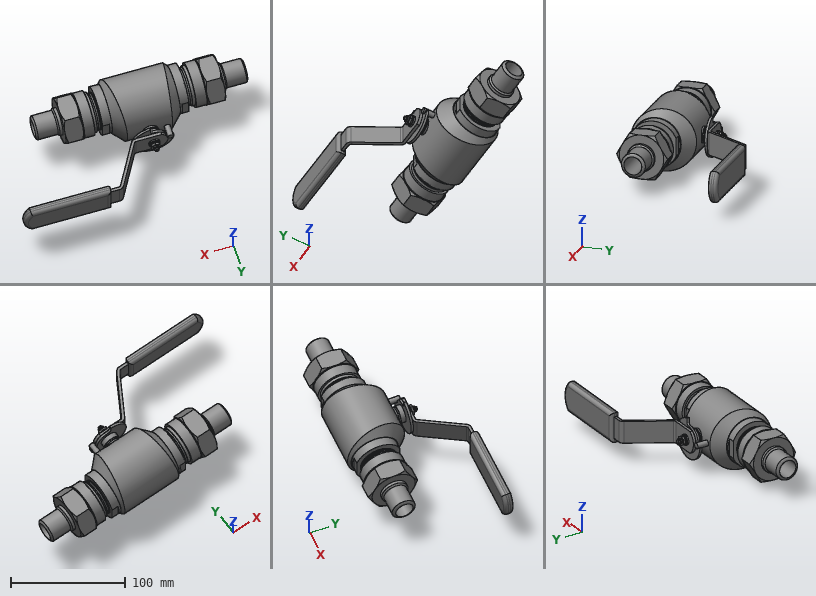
import cadquery as cq
import math


port_dia = 15.0
pipe_bore_dia = 16.5

body_end = 31.2
flat_end = 33.3
collar_end = 39.5
groove_start = 40.5
groove_end = 42.0
neck_end = 43.6
shoulder_end = 46.5
sleeve_end = 56.0
hex_start = 56.7
hex_end = 73.3
ferrule_end = 76.0
pipe_start = 77.5
pipe_end = 97.2

collar_dia = 44.0
collar_across_flats = 41.0
neck_dia = 34.2
groove_dia = 33.0
shoulder_dia = 36.5
sleeve_dia = 41.0
rim_dia = 41.8
ferrule_dia = 25.0
pipe_dia = 22.0
nose_length = 1.5
nose_bulge = 0.35

hex_across_flats = 41.0
hex_across_corners = hex_across_flats / math.cos(math.radians(30))
hex_chamfer_angle = 30

body_dia = 57.9
body_offset = 4.1
body_top = body_offset + body_dia / 2
cone_start_radius = 22.5
cone_margin = 2.3
stem_root = body_offset + body_dia / 4
cone_rise = body_top - cone_start_radius + cone_margin

stem_base_top = 34.0
gland_bottom = 35.4
plate_thickness = 2.3
plate_bottom = 40.0
lever_bottom = plate_bottom + plate_thickness
lever_thickness = 2.8
lever_top = lever_bottom + lever_thickness
washer_top = 46.5
collet_top = 47.8
nut_top = 49.8
cap_bottom = 51.2
cap_top = 52.0
stem_tip = 53.5

stem_base_dia = 15.0
stem_neck_dia = 14.2
gland_dia = 16.0
washer_dia = 10.0
collet_dia = 7.5
nut_across_flats = 8.0
stem_neck_top_dia = 5.0
cap_dia = 5.5
tip_dia = 3.2

plate_hub_radius = 12.2
wing_radius = 19.0
open_edge_x = 2.5
closed_edge_z = -1.4
wing_corner_fillet = 2.3
pin_dia = 5.5
pin_distance = 15.6
pin_top = 43.9

lever_hub_radius = 12.6
lever_width = 21.1
lever_angle = 60
low_bend_x = 18.5
grip_level = 85.0
bend_radius = 2.3
lever_end = 114.8

grip_start = 52.5
grip_shoulder = 126.0
grip_end = 132.5
grip_width = 28.7
grip_thickness = 8.7
grip_fillet = 3.5


def disc_x(start, end, dia):
    """Cylinder on the pipe axis between two X stations."""
    return cq.Workplane("YZ").workplane(offset=start).circle(dia / 2).extrude(end - start)


def disc_y(start, end, dia, x=0):
    """Cylinder parallel to the stem between two Y levels."""
    return cq.Workplane("XZ").workplane(offset=-start).center(x, 0).circle(dia / 2).extrude(start - end)


def make_barrel():
    """Eccentric barrel with its ends turned to 45 degree cones about the pipe axis."""
    peak_x = body_end - cone_rise
    peak_radius = cone_start_radius + cone_rise
    turned = (
        cq.Workplane("XY")
        .moveTo(-body_end, 0)
        .lineTo(-body_end, cone_start_radius)
        .lineTo(-peak_x, peak_radius)
        .lineTo(peak_x, peak_radius)
        .lineTo(body_end, cone_start_radius)
        .lineTo(body_end, 0)
        .close()
        .revolve(360, (0, 0, 0), (1, 0, 0))
    )
    barrel = (
        cq.Workplane("YZ")
        .workplane(offset=-body_end)
        .center(body_offset, 0)
        .circle(body_dia / 2)
        .extrude(2 * body_end)
    )
    return barrel.intersect(turned)


def make_collar():
    """Round collar with two wrench flats facing +Y and -Y."""
    collar = disc_x(body_end, collar_end, collar_dia)
    flat_length = collar_end - flat_end
    flat_depth = collar_dia - collar_across_flats
    for side in (1, -1):
        flat = cq.Workplane("XY").box(flat_length, flat_depth, collar_dia).translate(
            (flat_end + flat_length / 2, side * (collar_across_flats + flat_depth) / 2, 0)
        )
        collar = collar.cut(flat)
    return collar


def make_union_nut():
    """Hexagon with corners on +-Y and both ends chamfered by a cone."""
    hexagon = (
        cq.Workplane("YZ")
        .workplane(offset=hex_start)
        .polygon(6, hex_across_corners)
        .extrude(hex_end - hex_start)
    )
    face_radius = hex_across_flats / 2
    corner_radius = hex_across_corners / 2
    chamfer = (corner_radius - face_radius) * math.tan(math.radians(hex_chamfer_angle))
    envelope = (
        cq.Workplane("XY")
        .moveTo(hex_start, 0)
        .lineTo(hex_start, face_radius)
        .lineTo(hex_start + chamfer, corner_radius)
        .lineTo(hex_end - chamfer, corner_radius)
        .lineTo(hex_end, face_radius)
        .lineTo(hex_end, 0)
        .close()
        .revolve(360, (0, 0, 0), (1, 0, 0))
    )
    return hexagon.intersect(envelope)


def make_pipe_stub():
    """Ferrule tapering onto the pipe, with the pipe end rounded down to its bore."""
    pipe_radius = pipe_dia / 2
    nose_start = (pipe_end - nose_length, pipe_radius)
    nose_tip = (pipe_end, pipe_bore_dia / 2)
    return (
        cq.Workplane("XY")
        .moveTo(hex_end, 0)
        .lineTo(hex_end, ferrule_dia / 2)
        .lineTo(ferrule_end, ferrule_dia / 2)
        .lineTo(pipe_start, pipe_radius)
        .lineTo(*nose_start)
        .sagittaArc(nose_tip, nose_bulge)
        .lineTo(pipe_end, 0)
        .close()
        .revolve(360, (0, 0, 0), (1, 0, 0))
    )


def make_end():
    """Everything outside the barrel on the +X side."""
    end = make_collar()
    rings = (
        (collar_end, groove_start, neck_dia),
        (groove_start, groove_end, groove_dia),
        (groove_end, neck_end, neck_dia),
        (neck_end, shoulder_end, shoulder_dia),
        (shoulder_end, sleeve_end, sleeve_dia),
        (sleeve_end, hex_start, rim_dia),
    )
    for start, stop, dia in rings:
        end = end.union(disc_x(start, stop, dia))
    return end.union(make_union_nut()).union(make_pipe_stub())


def make_stem():
    """Stepped stem with gland, washer, hexagon nut and tip."""
    stem = disc_y(stem_root, stem_base_top, stem_base_dia)
    steps = (
        (stem_base_top, gland_bottom, stem_neck_dia),
        (gland_bottom, plate_bottom, gland_dia),
        (plate_bottom, washer_top, washer_dia),
        (washer_top, collet_top, collet_dia),
        (nut_top, cap_bottom, stem_neck_top_dia),
        (cap_bottom, cap_top, cap_dia),
        (cap_top, stem_tip, tip_dia),
    )
    for start, stop, dia in steps:
        stem = stem.union(disc_y(start, stop, dia))
    nut = (
        cq.Workplane("XZ")
        .workplane(offset=-collet_top)
        .polygon(6, nut_across_flats, circumscribed=True)
        .extrude(collet_top - nut_top)
    )
    return stem.union(nut)


def make_stop_plate():
    """Round hub with a wide sector that starts at the lever side and closes onto the stop pin."""
    plate = disc_y(plate_bottom, lever_bottom, 2 * wing_radius)
    hub = disc_y(plate_bottom, lever_bottom, 2 * plate_hub_radius)
    gap = (
        cq.Workplane("XY")
        .box(2 * wing_radius, plate_thickness, 2 * wing_radius, centered=False)
        .translate((open_edge_x - 2 * wing_radius, plate_bottom, closed_edge_z))
    )
    inner_corners = (
        (open_edge_x, math.sqrt(plate_hub_radius**2 - open_edge_x**2)),
        (-math.sqrt(plate_hub_radius**2 - closed_edge_z**2), closed_edge_z),
    )
    plate = plate.cut(gap.cut(hub))
    plate_middle = plate_bottom + plate_thickness / 2
    for x, z in inner_corners:
        corner = cq.NearestToPointSelector((x, plate_middle, z))
        plate = plate.edges("|Y").edges(corner).fillet(wing_corner_fillet)
    return plate


def make_lever():
    """Bent strip of constant thickness, rounded around the stem."""
    crank_run = (grip_level - lever_thickness / 2 - lever_bottom) / math.tan(math.radians(lever_angle))
    high_bend_x = low_bend_x + crank_run
    corner_shift = lever_thickness / 2 * math.tan(math.radians(lever_angle / 2))
    grip_bottom = grip_level - lever_thickness / 2
    grip_top = grip_level + lever_thickness / 2
    low_inside = (low_bend_x - corner_shift, lever_top)
    low_outside = (low_bend_x + corner_shift, lever_bottom)
    high_inside = (high_bend_x + corner_shift, grip_bottom)
    high_outside = (high_bend_x - corner_shift, grip_top)
    strip = (
        cq.Workplane("XY")
        .moveTo(-lever_hub_radius, lever_bottom)
        .lineTo(*low_outside)
        .lineTo(*high_inside)
        .lineTo(lever_end, grip_bottom)
        .lineTo(lever_end, grip_top)
        .lineTo(*high_outside)
        .lineTo(*low_inside)
        .lineTo(-lever_hub_radius, lever_top)
        .close()
        .extrude(lever_width / 2, both=True)
    )
    bends = (
        (low_inside, bend_radius),
        (low_outside, bend_radius + lever_thickness),
        (high_inside, bend_radius),
        (high_outside, bend_radius + lever_thickness),
    )
    for (x, y), radius in bends:
        strip = strip.edges(cq.NearestToPointSelector((x, y, 0))).fillet(radius)

    keep = disc_y(lever_bottom, lever_top, 2 * lever_hub_radius).union(
        cq.Workplane("XY").box(lever_end, grip_top, lever_width, centered=(False, False, True))
    )
    return strip.intersect(keep)


def make_grip():
    """Rounded sleeve over the lever, with an arched outer end."""
    half_width = grip_width / 2
    return (
        cq.Workplane("XZ")
        .workplane(offset=-(grip_level - grip_thickness / 2))
        .moveTo(grip_start, -half_width)
        .lineTo(grip_shoulder, -half_width)
        .threePointArc((grip_end, 0), (grip_shoulder, half_width))
        .lineTo(grip_start, half_width)
        .close()
        .extrude(-grip_thickness)
        .faces("<Y or >Y")
        .edges()
        .fillet(grip_fillet)
    )


right_end = make_end()
left_end = right_end.mirror("YZ")
body = make_barrel().union(right_end).union(left_end)

body = body.cut(disc_x(-pipe_end, pipe_end, port_dia))
for start, stop in ((-pipe_end, -collar_end), (collar_end, pipe_end)):
    body = body.cut(disc_x(start, stop, pipe_bore_dia))

stop_pin = disc_y(stem_root, pin_top, pin_dia, -pin_distance)

result = (
    body.union(make_stem())
    .union(stop_pin)
    .union(make_stop_plate())
    .union(make_lever())
    .union(make_grip())
)